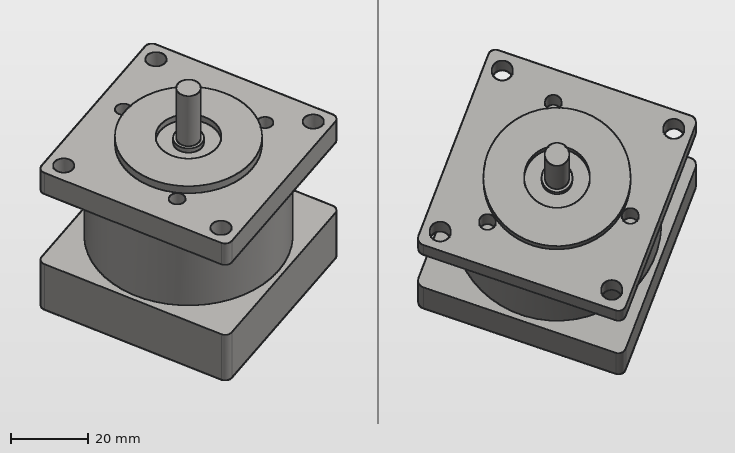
import cadquery as cq

base_top = 16.0
flange_bottom = 40.5
flange_top = 48.0
pilot_top = 50.5
shaft_top = 67.5

square_side = 57.0
corner_radius = 2.0
barrel_diameter = 54.0
pilot_diameter = 38.1
recess_diameter = 17.0
recess_depth = 2.0
recess_floor = pilot_top - recess_depth

flange_thickness = flange_top - flange_bottom
mount_hole_spacing = 47.1
mount_hole_diameter = 5.5
screw_hole_count = 3
screw_hole_diameter = 4.3
screw_circle_radius = 21.3
screw_start_angle = 52.5

shaft_diameter = 6.35
collar_diameter = 8.0
collar_height = 1.5


def rounded_square(bottom, top):
    """Square block with rounded vertical edges."""
    return (
        cq.Workplane("XY", origin=(0, 0, bottom))
        .rect(square_side, square_side)
        .extrude(top - bottom)
        .edges("|Z")
        .fillet(corner_radius)
    )


def cylinder(diameter, bottom, top):
    """Upright cylinder on the central axis."""
    return cq.Workplane("XY", origin=(0, 0, bottom)).circle(diameter / 2).extrude(top - bottom)


def make_housing():
    """Square base, round barrel and square flange with a recessed pilot boss."""
    body = (
        rounded_square(0, base_top)
        .union(cylinder(barrel_diameter, base_top, flange_bottom))
        .union(rounded_square(flange_bottom, flange_top))
        .union(cylinder(pilot_diameter, flange_top, pilot_top))
    )
    recess = cylinder(recess_diameter, recess_floor, pilot_top)
    flange_plane = cq.Workplane("XY", origin=(0, 0, flange_top))
    mount_holes = (
        flange_plane.rect(mount_hole_spacing, mount_hole_spacing, forConstruction=True)
        .vertices()
        .circle(mount_hole_diameter / 2)
        .extrude(-flange_thickness)
    )
    screw_holes = (
        flange_plane.polarArray(screw_circle_radius, screw_start_angle, 360, screw_hole_count)
        .circle(screw_hole_diameter / 2)
        .extrude(-flange_thickness)
    )
    return body.cut(recess).cut(mount_holes).cut(screw_holes)


def make_shaft():
    """Output shaft with a collar that rests on the recess floor."""
    collar = cylinder(collar_diameter, recess_floor, recess_floor + collar_height)
    return collar.union(cylinder(shaft_diameter, recess_floor, shaft_top))


housing = make_housing()
shaft = make_shaft()
result = cq.Compound.makeCompound([housing.val(), shaft.val()])